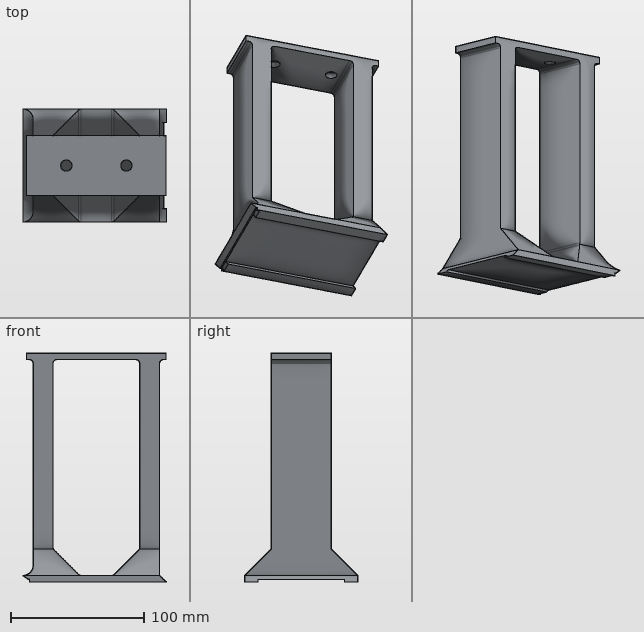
import cadquery as cq

height = 172.0
base_depth = 85.0
plate_thickness = 5.0
overall_width = 108.0

leg_left = 7.7
leg_right = 102.7
leg_thickness = 15.0
leg_depth = 45.0
foot_rise = (base_depth - leg_depth) / 2
foot_top = plate_thickness + foot_rise
fillet_radius = 3.0
center_x = (leg_left + leg_right) / 2
inner_left = leg_left + leg_thickness
inner_right = leg_right - leg_thickness
foot_tip_left = inner_left + foot_rise
foot_tip_right = inner_right - foot_rise

top_overhang = 5.0
hole_diameter = 8.5
hole_spacing = 45.0

undercut_x = 4.0
undercut_z = 2.0
base_left = 5.0

channel_height = 1.9
rail_depth = 10.1
rail_strip = 1.2
relief_depth = rail_depth - rail_strip


def extrude_along_y(sketch, depth):
    """Extrude an XZ outline symmetrically about Y = 0."""
    return sketch.extrude(depth / 2, both=True)


def make_base():
    outline = (
        cq.Workplane("XZ")
        .moveTo(base_left, 0)
        .lineTo(overall_width, 0)
        .lineTo(leg_right, plate_thickness)
        .lineTo(0, plate_thickness)
        .lineTo(undercut_x, undercut_z)
        .lineTo(base_left, undercut_z)
        .close()
    )
    return extrude_along_y(outline, base_depth)


def make_top_plate():
    width = leg_right - leg_left + 2 * top_overhang
    return cq.Workplane("XY").box(width, base_depth, plate_thickness).translate(
        (center_x, 0, height - plate_thickness / 2)
    )


def make_leg(outer_x, inner_x, foot_tip_x):
    """One leg whose foot slopes inward at 45 degrees, at the full base depth."""
    outline = (
        cq.Workplane("XZ")
        .moveTo(outer_x, plate_thickness)
        .lineTo(foot_tip_x, plate_thickness)
        .lineTo(inner_x, foot_top)
        .lineTo(inner_x, height - plate_thickness)
        .lineTo(outer_x, height - plate_thickness)
        .close()
    )
    return extrude_along_y(outline, base_depth)


def make_left_cove():
    """Concave quarter round from the left leg down to the tip of the base."""
    outline = (
        cq.Workplane("XZ")
        .moveTo(0, plate_thickness)
        .radiusArc((leg_left, plate_thickness + leg_left), -leg_left)
        .lineTo(leg_left, plate_thickness)
        .close()
    )
    return extrude_along_y(outline, base_depth)


def make_side_envelope():
    """Side outline of the legs: straight above, flaring to the full depth at the base."""
    half_leg = leg_depth / 2
    half_base = base_depth / 2
    return (
        cq.Workplane("YZ")
        .moveTo(-half_base, 0)
        .lineTo(half_base, 0)
        .lineTo(half_base, plate_thickness)
        .lineTo(half_leg, foot_top)
        .lineTo(half_leg, height)
        .lineTo(-half_leg, height)
        .lineTo(-half_leg, foot_top)
        .lineTo(-half_base, plate_thickness)
        .close()
        .extrude(overall_width)
    )


def edges_along_y(body, x, z):
    """Select the edges that run along Y through the given X and Z."""
    margin = 0.2
    selector = cq.selectors.BoxSelector(
        (x - margin, -base_depth, z - margin),
        (x + margin, base_depth, z + margin),
    )
    return body.edges("|Y").edges(selector)


def round_corners(body):
    plate_bottom = height - plate_thickness
    corners = [
        (leg_left, plate_bottom),
        (inner_left, plate_bottom),
        (inner_right, plate_bottom),
        (leg_right, plate_bottom),
        (inner_left, foot_top),
        (inner_right, foot_top),
        (foot_tip_left, plate_thickness),
        (foot_tip_right, plate_thickness),
    ]
    for x, z in corners:
        body = edges_along_y(body, x, z).fillet(fillet_radius)
    return body


left_leg = make_leg(leg_left, inner_left, foot_tip_left)
right_leg = make_leg(leg_right, inner_right, foot_tip_right)
frame = make_base().union(left_leg).union(right_leg).union(make_left_cove()).union(make_top_plate())
result = round_corners(frame).intersect(make_side_envelope())

holes = (
    cq.Workplane("XY", origin=(center_x, 0, height - plate_thickness))
    .pushPoints([(-hole_spacing / 2, 0), (hole_spacing / 2, 0)])
    .circle(hole_diameter / 2)
    .extrude(plate_thickness)
)
result = result.cut(holes)

channel = cq.Workplane("XY").box(
    overall_width, base_depth - 2 * rail_depth, channel_height, centered=(False, True, False)
)
result = result.cut(channel)

for side in (-1, 1):
    relief = (
        cq.Workplane("XZ")
        .moveTo(base_left, 0)
        .lineTo(base_left + undercut_z, 0)
        .lineTo(base_left, undercut_z)
        .close()
    )
    relief_center = side * (base_depth / 2 - rail_strip - relief_depth / 2)
    result = result.cut(extrude_along_y(relief, relief_depth).translate((0, relief_center, 0)))